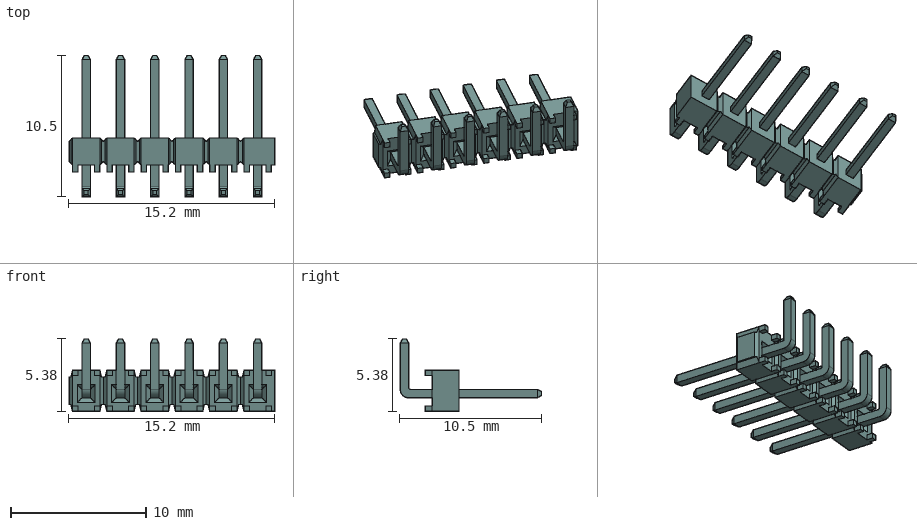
import cadquery as cq
import math


row_length = 15.24
pin_count = 6
pitch = row_length / pin_count

housing_depth = 2.01
housing_height = 3.06
cell_width = 2.03
neck_inset_y = 0.26
neck_inset_z = 0.5
ledge_inset_x = 0.12

foot_size = 0.41
foot_length = 0.52

pin_width = 0.64
pin_height = 1.33
leg_reach = 2.36
leg_top = 5.38
tail_reach = 6.11
outer_bend_radius = 0.62
inner_bend_radius = 0.12
tip_length = 0.32
tip_width = 0.29
tip_taper = math.degrees(math.atan2((pin_width - tip_width) / 2, tip_length))

recess_width = 1.31
recess_depth = 0.34
recess_taper = math.degrees(math.atan2((recess_width - pin_width) / 2, recess_depth))

pin_positions = [(i - (pin_count - 1) / 2) * pitch for i in range(pin_count)]


def make_cell(x):
    """Housing cell with bevelled sides that narrow to the necks joining its neighbours."""
    half_cell = cell_width / 2
    half_pitch = pitch / 2
    ledge_x = half_cell + ledge_inset_x
    neck_top = housing_height - neck_inset_z
    neck_back = housing_depth - neck_inset_y

    front_outline = [
        (-half_cell, 0),
        (half_cell, 0),
        (ledge_x, neck_inset_z),
        (half_pitch, neck_inset_z),
        (half_pitch, neck_top),
        (ledge_x, neck_top),
        (half_cell, housing_height),
        (-half_cell, housing_height),
        (-ledge_x, neck_top),
        (-half_pitch, neck_top),
        (-half_pitch, neck_inset_z),
        (-ledge_x, neck_inset_z),
    ]
    plan_outline = [
        (-half_cell, 0),
        (half_cell, 0),
        (half_pitch, neck_inset_y),
        (half_pitch, neck_back),
        (half_cell, housing_depth),
        (-half_cell, housing_depth),
        (-half_pitch, neck_back),
        (-half_pitch, neck_inset_y),
    ]
    front_prism = cq.Workplane("XZ").polyline(front_outline).close().extrude(-housing_depth)
    plan_prism = cq.Workplane("XY").polyline(plan_outline).close().extrude(housing_height)
    return front_prism.intersect(plan_prism).translate((x, 0, 0))


def make_plain_end():
    """Square-cut end that fills the +X half of the last cell."""
    return cq.Workplane("XY").box(
        pitch / 2, housing_depth, housing_height, centered=False
    ).translate((pin_positions[-1], 0, 0))


def make_feet(x):
    """Four square standoff feet at the corners of a cell's front face."""
    return (
        cq.Workplane("XZ", origin=(x, 0, housing_height / 2))
        .rect(cell_width - foot_size, housing_height - foot_size, forConstruction=True)
        .vertices()
        .rect(foot_size, foot_size)
        .extrude(foot_length)
    )


def make_recess(x):
    """Pyramidal recess that narrows from the front face to the pin section."""
    return (
        cq.Workplane("XZ", origin=(x, 0, pin_height))
        .rect(recess_width, recess_width)
        .extrude(-recess_depth, taper=recess_taper)
    )


def make_pin(x):
    """Square pin bent upwards in front of the housing, with a tapered tip at each end."""
    leg_front = -leg_reach
    leg_back = leg_front + pin_width
    leg_shoulder = leg_top - tip_length
    tail_shoulder = housing_depth + tail_reach - tip_length
    pin_bottom = pin_height - pin_width / 2
    pin_top = pin_bottom + pin_width

    bar = (
        cq.Workplane("YZ", origin=(x - pin_width / 2, 0, 0))
        .moveTo(tail_shoulder, pin_bottom)
        .lineTo(leg_front + outer_bend_radius, pin_bottom)
        .radiusArc((leg_front, pin_bottom + outer_bend_radius), outer_bend_radius)
        .lineTo(leg_front, leg_shoulder)
        .lineTo(leg_back, leg_shoulder)
        .lineTo(leg_back, pin_top + inner_bend_radius)
        .radiusArc((leg_back + inner_bend_radius, pin_top), -inner_bend_radius)
        .lineTo(tail_shoulder, pin_top)
        .close()
        .extrude(pin_width)
    )
    leg_tip = (
        cq.Workplane("XY", origin=(x, leg_front + pin_width / 2, leg_shoulder))
        .rect(pin_width, pin_width)
        .extrude(tip_length, taper=tip_taper)
    )
    tail_tip = (
        cq.Workplane("XZ", origin=(x, tail_shoulder, pin_height))
        .rect(pin_width, pin_width)
        .extrude(-tip_length, taper=tip_taper)
    )
    return bar.union(leg_tip).union(tail_tip)


result = make_plain_end()
for pin_x in pin_positions:
    result = result.union(make_cell(pin_x)).union(make_feet(pin_x))
for pin_x in pin_positions:
    result = result.cut(make_recess(pin_x)).union(make_pin(pin_x))